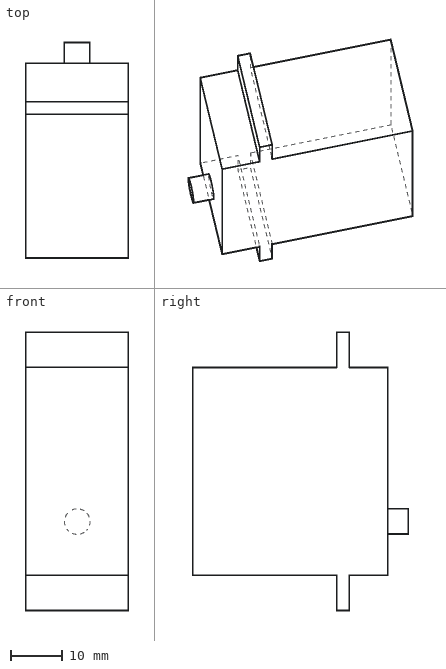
import cadquery as cq

width = 20.0
case_length = 38.0
case_height = 40.5

tab_span = 54.2
tab_thickness = 2.5
tab_setback = 7.5

shaft_diameter = 5.0
shaft_length = 4.0
shaft_height = 10.5

shaft_face_y = case_length / 2
case_bottom_z = -case_height / 2


def make_case():
    return cq.Workplane("XY").box(width, case_length, case_height)


def make_tabs():
    tab_center_y = shaft_face_y - tab_setback - tab_thickness / 2
    return cq.Workplane("XY").box(width, tab_thickness, tab_span).translate((0, tab_center_y, 0))


def make_shaft():
    return (
        cq.Workplane("XZ", origin=(0, shaft_face_y, case_bottom_z + shaft_height))
        .circle(shaft_diameter / 2)
        .extrude(-shaft_length)
    )


result = make_case().union(make_tabs()).union(make_shaft())